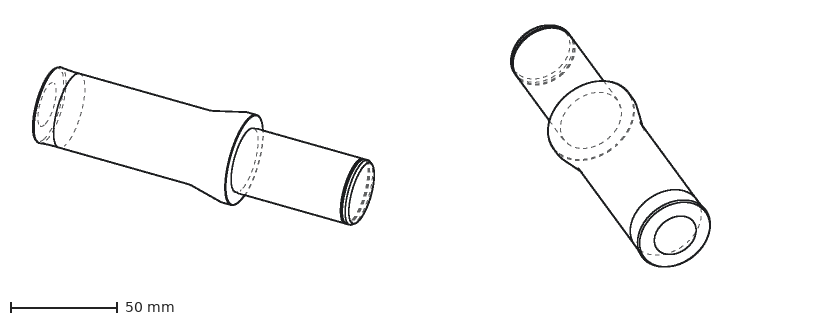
import cadquery as cq
import math

overall_length = 161.0
joint_x = 11.5

body_diameter = 36.0
body_radius = body_diameter / 2
rim_radius = 18.5
face_outer_radius = 17.9
face_slope_depth = 0.6
rim_x = 1.6
taper_end_x = 8.0

recess_mouth_radius = 10.6
recess_step_radius = 10.0
recess_rim_radius = 8.5
recess_floor_radius = 7.4
recess_ledge_radius = 8.0
recess_step_depth = 0.2
recess_ledge_depth = 0.24
recess_depth = 0.3

flare_x = 78.1
flare_blend_length = 1.5
collar_x = 95.6
collar_end_x = 101.1
collar_radius = 44.0 / 2
collar_chamfer = 0.3
flare_rise = 3.9
flare_angle = math.atan(flare_rise / (collar_x - flare_x - flare_blend_length / 2))

shank_radius = 31.5 / 2
neck_radius = 31.0 / 2
neck_end_x = 101.9
neck_blend_length = 1.0
groove_x = 157.1
groove_width = 1.0
groove_side_width = 0.3
end_chamfer_length = 1.5
end_chamfer_depth = 1.0


def revolve_about_x(profile):
    """Close an XY half profile and turn it about the X axis."""
    return profile.close().revolve(360, (0, 0, 0), (1, 0, 0))


def make_cutting_head():
    profile = (
        cq.Workplane("XY")
        .moveTo(recess_depth, 0)
        .lineTo(recess_depth, recess_floor_radius)
        .lineTo(recess_ledge_depth, recess_ledge_radius)
        .lineTo(recess_step_depth, recess_rim_radius)
        .lineTo(recess_step_depth, recess_step_radius)
        .lineTo(0, recess_mouth_radius)
        .lineTo(face_slope_depth, face_outer_radius)
        .lineTo(rim_x, rim_radius)
        .lineTo(taper_end_x, body_radius)
        .lineTo(joint_x, body_radius)
        .lineTo(joint_x, 0)
    )
    return revolve_about_x(profile)


def make_holder():
    blend_rise = flare_blend_length * math.tan(flare_angle / 2)
    groove_end_x = groove_x + groove_width
    profile = (
        cq.Workplane("XY")
        .moveTo(joint_x, 0)
        .lineTo(joint_x, body_radius)
        .lineTo(flare_x, body_radius)
        .tangentArcPoint((flare_x + flare_blend_length, body_radius + blend_rise), relative=False)
        .lineTo(collar_x, body_radius + flare_rise)
        .lineTo(collar_x + collar_chamfer, collar_radius)
        .lineTo(collar_end_x - collar_chamfer, collar_radius)
        .lineTo(collar_end_x, collar_radius - collar_chamfer)
        .lineTo(collar_end_x, neck_radius)
        .lineTo(neck_end_x, neck_radius)
        .lineTo(neck_end_x + neck_blend_length, shank_radius)
        .lineTo(groove_x, shank_radius)
        .lineTo(groove_x + groove_side_width, neck_radius)
        .lineTo(groove_end_x - groove_side_width, neck_radius)
        .lineTo(groove_end_x, shank_radius)
        .lineTo(overall_length - end_chamfer_length, shank_radius)
        .lineTo(overall_length, shank_radius - end_chamfer_depth)
        .lineTo(overall_length, 0)
    )
    return revolve_about_x(profile)


cutting_head = make_cutting_head()
holder = make_holder()

result = cq.Compound.makeCompound([cutting_head.val(), holder.val()])